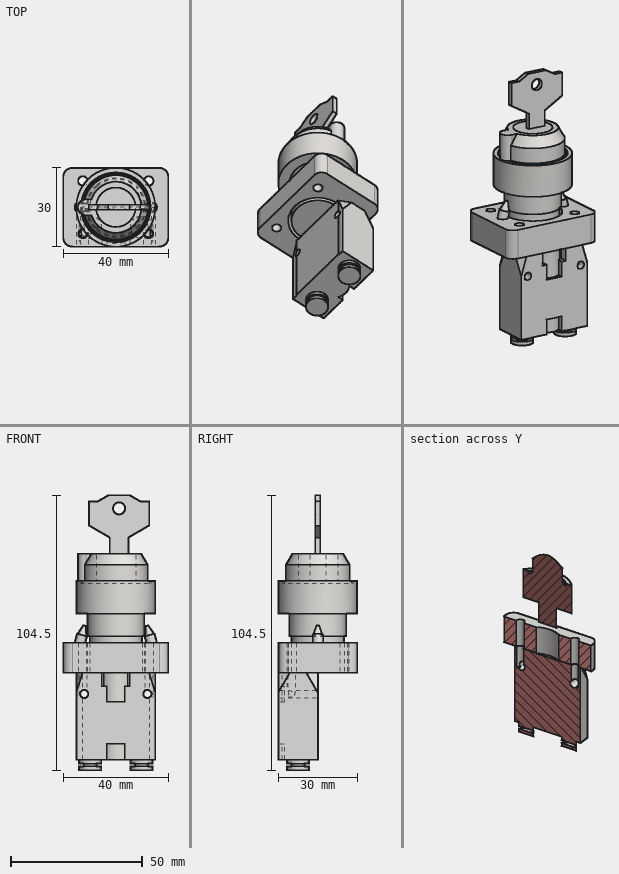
import cadquery as cq
import math


plate_length = 40.0
plate_width = 30.0
plate_height = 11.5
plate_corner_radius = 3.5
panel_hole_diameter = 22.5
screw_hole_diameter = 3.5
screw_spacing_x = 25.0
screw_spacing_y = 20.0

barb_diameter = 4.0
barb_cone_diameter = 3.5
barb_tip_diameter = 1.0
barb_shank_length = 3.0
barb_length = 6.7
barb_root_depth = 1.0
barb_offset = 13.6
barb_tilt = 15.0

block_width = 30.0
block_depth = 15.0
block_height = 33.0
block_middle_y = -block_depth / 2
back_panel_thickness = 0.25
corner_cut_x = 2.35
corner_cut_height = 7.5
corner_cut_angle = 30.0
corner_cut_y = corner_cut_height * math.tan(math.radians(corner_cut_angle))
cross_hole_diameter = 3.0
cross_hole_offset = 12.0
cross_hole_drop = 8.0
screw_tip_hole_diameter = 3.0
screw_tip_hole_depth = 9.0
plunger_radius = 6.25
wide_slot_width = 10.5
wide_slot_height = 5.0
plunger_face_width = 9.2
narrow_slot_width = 6.75
narrow_slot_depth_down = 11.0
bottom_slot_height = 6.0

stud_diameter = 8.5
stud_groove_diameter = 5.0
stud_lip_height = 1.5
stud_groove_height = 1.0
stud_offset = 9.75

neck_diameter = 21.7
neck_groove_diameter = 20.0
neck_step_z = 14.0
bezel_diameter = 30.0
bezel_bottom_z = 22.5
bezel_top_z = 35.0
bezel_groove_outer_diameter = 26.5
bezel_groove_inner_diameter = 25.5
bezel_groove_depth = 1.0
knob_diameter = 24.4
knob_top_diameter = 19.4
knob_chamfer_z = 41.0
knob_top_z = 45.3
pointer_width = 6.0
pointer_tip_x = -14.4

barrel_diameter = 15.0
key_centre_x = 1.25
key_thickness = 2.0
key_top_z = 67.5
key_shoulder_z = 65.2
key_grip_bottom_z = 56.0
key_grip_width = 23.0
key_shoulder_width = 16.2
key_top_width = 8.2
key_shank_width = 7.2
key_grip_slope = 30.0
key_hole_diameter = 4.5
key_hole_z = 62.5


def disc(diameter, bottom_z, top_z, x=0.0, y=0.0):
    """Vertical cylinder between two heights."""
    return (
        cq.Workplane("XY", origin=(x, y, bottom_z))
        .circle(diameter / 2)
        .extrude(top_z - bottom_z)
    )


def box_between(x_range, y_range, z_range):
    """Box spanning the given (low, high) ranges."""
    sizes = [high - low for low, high in (x_range, y_range, z_range)]
    corner = (x_range[0], y_range[0], z_range[0])
    return cq.Workplane("XY").box(*sizes, centered=False).translate(corner)


def barb():
    """Latch barb on the -X side: a cylindrical shank with a conical point, leaning towards the axis."""
    profile = [
        (0, -barb_root_depth),
        (barb_diameter / 2, -barb_root_depth),
        (barb_diameter / 2, barb_shank_length),
        (barb_cone_diameter / 2, barb_shank_length),
        (barb_tip_diameter / 2, barb_length),
        (0, barb_length),
    ]
    upright = cq.Workplane("XZ").polyline(profile).close().revolve(360, (0, 0), (0, 1))
    leaning = upright.rotate((0, 0, 0), (0, 1, 0), barb_tilt)
    return leaning.translate((-barb_offset, 0, plate_height))


def make_plate():
    plate = (
        cq.Workplane("XY")
        .rect(plate_length, plate_width)
        .extrude(plate_height)
        .edges("|Z")
        .fillet(plate_corner_radius)
    )
    screw_holes = (
        cq.Workplane("XY")
        .rect(screw_spacing_x, screw_spacing_y, forConstruction=True)
        .vertices()
        .circle(screw_hole_diameter / 2)
        .extrude(plate_height)
    )
    plate = plate.cut(screw_holes).cut(disc(panel_hole_diameter, 0, plate_height))
    left_barb = barb()
    return plate.union(left_barb).union(left_barb.mirror("YZ"))


def corner_cut():
    """Three-sided wedge that bevels the upper front -X corner of the contact block."""
    x, y = -block_width / 2, -block_depth
    corner = cq.Vector(x, y, 0)
    along_x = cq.Vector(x + corner_cut_x, y, 0)
    along_y = cq.Vector(x, y + corner_cut_y, 0)
    below = cq.Vector(x, y, -corner_cut_height)
    triangles = [
        [corner, along_x, along_y],
        [corner, along_x, below],
        [corner, along_y, below],
        [along_x, along_y, below],
    ]
    faces = [cq.Face.makeFromWires(cq.Wire.makePolygon(points, close=True)) for points in triangles]
    return cq.Workplane("XY").add(cq.Solid.makeSolid(cq.Shell.makeShell(faces)))


def front_slot(width, z_range):
    """Slot in the front face of the block, bottoming on the round plunger housing."""
    housing_face_y = block_middle_y - math.sqrt(plunger_radius**2 - (plunger_face_width / 2) ** 2)
    slot = box_between((-width / 2, width / 2), (-block_depth, housing_face_y), z_range)
    return slot.cut(disc(2 * plunger_radius, -block_height, 0, y=block_middle_y))


def terminal_stud(x):
    """Stud made of two lips with a groove between them."""
    upper_lip_z = -block_height - stud_lip_height
    groove_z = upper_lip_z - stud_groove_height
    lower_lip_z = groove_z - stud_lip_height
    stud = disc(stud_groove_diameter, lower_lip_z, -block_height, x, block_middle_y)
    stud = stud.union(disc(stud_diameter, upper_lip_z, -block_height, x, block_middle_y))
    return stud.union(disc(stud_diameter, lower_lip_z, groove_z, x, block_middle_y))


def make_contact_block():
    half_width = block_width / 2
    block = box_between((-half_width, half_width), (-block_depth, 0), (-block_height, 0))

    front_left = corner_cut()
    for front_cut in (front_left, front_left.mirror("YZ")):
        block = block.cut(front_cut)
        block = block.cut(front_cut.mirror("XZ", (0, block_middle_y, 0)))

    panel_edge = half_width - corner_cut_x
    block = block.union(
        box_between((-panel_edge, panel_edge), (0, back_panel_thickness), (-block_height, 0))
    )

    cross_holes = (
        cq.Workplane("XZ", origin=(0, back_panel_thickness, 0))
        .pushPoints([(-cross_hole_offset, -cross_hole_drop), (cross_hole_offset, -cross_hole_drop)])
        .circle(cross_hole_diameter / 2)
        .extrude(block_depth + back_panel_thickness)
    )
    block = block.cut(cross_holes)

    for x in (-screw_spacing_x / 2, screw_spacing_x / 2):
        block = block.cut(
            disc(screw_tip_hole_diameter, -screw_tip_hole_depth, 0, x, -screw_spacing_y / 2)
        )

    block = block.cut(front_slot(wide_slot_width, (-wide_slot_height, 0)))
    block = block.cut(front_slot(narrow_slot_width, (-narrow_slot_depth_down, 0)))
    bottom_slot_range = (-block_height, -block_height + bottom_slot_height)
    block = block.cut(front_slot(narrow_slot_width, bottom_slot_range))

    for x in (-stud_offset, stud_offset):
        block = block.union(terminal_stud(x))
    return block


def make_head():
    """Neck, bezel ring and knob turned about the switch axis, with the pointer and the barrel bore."""
    groove_bottom_z = bezel_top_z - bezel_groove_depth
    profile = [
        (0, 0),
        (neck_groove_diameter / 2, 0),
        (neck_groove_diameter / 2, neck_step_z),
        (neck_diameter / 2, neck_step_z),
        (neck_diameter / 2, bezel_bottom_z),
        (bezel_diameter / 2, bezel_bottom_z),
        (bezel_diameter / 2, bezel_top_z),
        (bezel_groove_outer_diameter / 2, bezel_top_z),
        (bezel_groove_outer_diameter / 2, groove_bottom_z),
        (bezel_groove_inner_diameter / 2, groove_bottom_z),
        (bezel_groove_inner_diameter / 2, bezel_top_z),
        (knob_diameter / 2, bezel_top_z),
        (knob_diameter / 2, knob_chamfer_z),
        (knob_top_diameter / 2, knob_top_z),
        (0, knob_top_z),
    ]
    head = cq.Workplane("XZ").polyline(profile).close().revolve(360, (0, 0), (0, 1))

    half_width = pointer_width / 2
    tip_centre_x = pointer_tip_x + half_width
    pointer = (
        cq.Workplane("XY", origin=(0, 0, bezel_top_z))
        .moveTo(0, half_width)
        .lineTo(tip_centre_x, half_width)
        .threePointArc((pointer_tip_x, 0), (tip_centre_x, -half_width))
        .lineTo(0, -half_width)
        .close()
        .extrude(knob_top_z - bezel_top_z)
    )
    return head.union(pointer).cut(disc(barrel_diameter, bezel_top_z, knob_top_z))


def make_lock():
    """Lock barrel flush with the top of the knob, with the key standing in it."""
    shank = key_shank_width / 2
    grip = key_grip_width / 2
    shoulder = key_shoulder_width / 2
    top = key_top_width / 2
    shank_top_z = key_grip_bottom_z - (grip - shank) * math.tan(math.radians(key_grip_slope))
    right_side = [
        (shank, knob_top_z),
        (shank, shank_top_z),
        (grip, key_grip_bottom_z),
        (grip, key_shoulder_z),
        (shoulder, key_shoulder_z),
        (top, key_top_z),
    ]
    left_side = [(-x, z) for x, z in reversed(right_side)]
    key = (
        cq.Workplane("XZ", origin=(key_centre_x, 0, 0))
        .polyline(right_side + left_side)
        .close()
        .extrude(key_thickness / 2, both=True)
    )
    key_hole = (
        cq.Workplane("XZ", origin=(key_centre_x, 0, key_hole_z))
        .circle(key_hole_diameter / 2)
        .extrude(key_thickness / 2, both=True)
    )
    return disc(barrel_diameter, bezel_top_z, knob_top_z).union(key.cut(key_hole))


plate = make_plate()
contact_block = make_contact_block()
head = make_head()
lock = make_lock()

result = cq.Compound.makeCompound([plate.val(), contact_block.val(), head.val(), lock.val()])